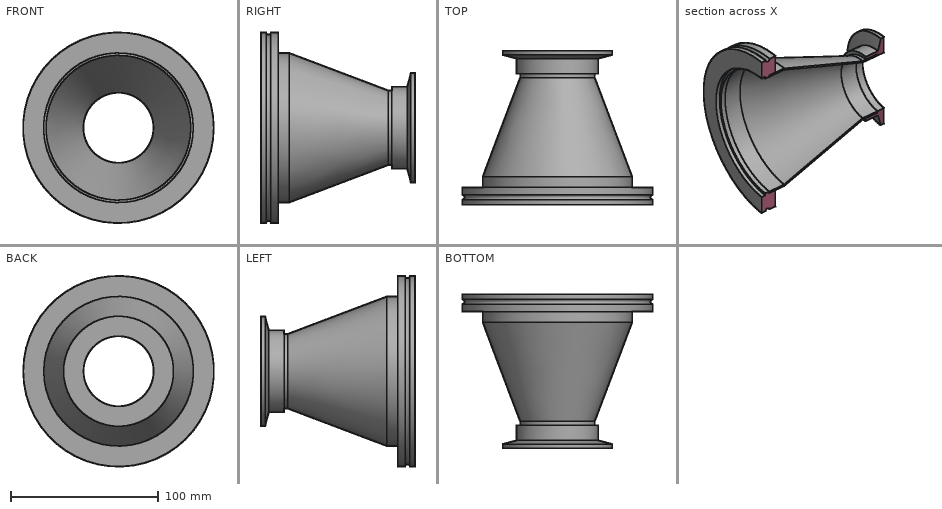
import cadquery as cq
import math

total_length = 104.8

wall = 1.7
large_tube_radius = 50.9
small_tube_radius = 25.4
tube_start = 6.5
cone_start = 19.2
cone_end = 86.4
straight_length = cone_start - tube_start
tube_end = cone_end + straight_length
large_bore_radius = large_tube_radius - wall
small_bore_radius = small_tube_radius - wall

flange_radius = 64.9
flange_thickness = 12.0
recess_depth = 3.0
groove_center = 5.2
groove_radius = 1.5

rim_radius = 37.4
rim_thickness = 3.0
taper_length = 2.5
neck_radius = 27.9
ferrule_length = 15.8
ferrule_start = total_length - ferrule_length
rim_start = total_length - rim_thickness
taper_start = rim_start - taper_length


def revolve_about_y(profile):
    """Turn a closed (radius, Y) profile into a ring about the Y axis."""
    return profile.close().revolve(360, (0, 0, 0), (0, 1, 0))


def make_tube():
    """Cone between two straight ends, with a constant radial wall."""
    profile = cq.Workplane("XY").polyline([
        (large_bore_radius, tube_start),
        (large_tube_radius, tube_start),
        (large_tube_radius, cone_start),
        (small_tube_radius, cone_end),
        (small_tube_radius, tube_end),
        (small_bore_radius, tube_end),
        (small_bore_radius, cone_end),
        (large_bore_radius, cone_start),
    ])
    return revolve_about_y(profile)


def make_flange():
    """Flange with a round rim groove, a front recess and a rear socket for the tube."""
    diagonal = groove_radius * math.sqrt(0.5)
    groove_bottom = (flange_radius - groove_radius, groove_center)
    profile = (
        cq.Workplane("XY")
        .moveTo(large_tube_radius, 0)
        .lineTo(flange_radius, 0)
        .lineTo(flange_radius, groove_center - groove_radius)
        .threePointArc((flange_radius - diagonal, groove_center - diagonal), groove_bottom)
        .threePointArc(
            (flange_radius - diagonal, groove_center + diagonal),
            (flange_radius, groove_center + groove_radius),
        )
        .lineTo(flange_radius, flange_thickness)
        .lineTo(large_tube_radius, flange_thickness)
        .lineTo(large_tube_radius, tube_start)
        .lineTo(large_bore_radius, tube_start)
        .lineTo(large_bore_radius, recess_depth)
        .lineTo(large_tube_radius, recess_depth)
    )
    return revolve_about_y(profile)


def make_ferrule():
    """Ferrule with a tapered rim, a neck, and a socket for the small end of the tube."""
    profile = cq.Workplane("XY").polyline([
        (small_tube_radius, ferrule_start),
        (neck_radius, ferrule_start),
        (neck_radius, taper_start),
        (rim_radius, rim_start),
        (rim_radius, total_length),
        (small_bore_radius, total_length),
        (small_bore_radius, tube_end),
        (small_tube_radius, tube_end),
    ])
    return revolve_about_y(profile)


tube = make_tube()
flange = make_flange()
ferrule = make_ferrule()

result = cq.Compound.makeCompound([tube.val(), flange.val(), ferrule.val()])